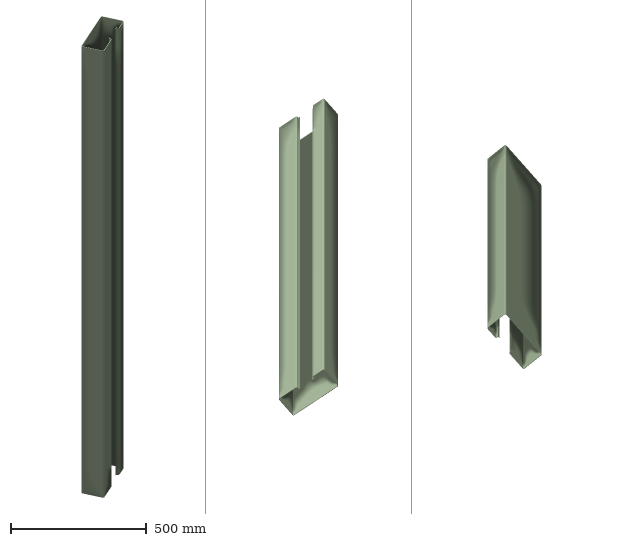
import cadquery as cq

depth = 90.0
width = 210.0
length = 2000.0

sheet = 2.0
outer_bend = 5.0
inner_bend = outer_bend - sheet

slot_width = 72.0
slot_center = 15.0
lip_depth = 12.0
hook_width = 5.0


def block(x_start, x_end, y_start, y_end):
    """Full-length upright block spanning the given X and Y limits."""
    return (
        cq.Workplane("XY")
        .box(x_end - x_start, y_end - y_start, length, centered=False)
        .translate((x_start, y_start, -length / 2))
    )


def tube():
    """Closed rectangular tube with rounded vertical corners."""
    outside = cq.Workplane("XY").box(depth, width, length)
    inside = cq.Workplane("XY").box(depth - 2 * sheet, width - 2 * sheet, length)
    return outside.edges("|Z").fillet(outer_bend).cut(inside.edges("|Z").fillet(inner_bend))


def lip():
    """Lip on the +Y side of a slot centred on Y = 0: folded inward, then hooked into the slot."""
    face = depth / 2
    slot_edge = slot_width / 2
    inner_end = face - lip_depth
    bend_x = face - outer_bend
    bend_y = slot_edge + outer_bend
    fold = block(inner_end, bend_x, slot_edge, slot_edge + sheet)
    hook = block(inner_end, inner_end + sheet, slot_edge - hook_width, slot_edge + sheet)
    ring = cq.Workplane("XY").circle(outer_bend).circle(inner_bend).extrude(length / 2, both=True)
    bend = ring.translate((bend_x, bend_y, 0)).intersect(block(bend_x, face, slot_edge, bend_y))
    return fold.union(hook).union(bend)


cut_edge = slot_width / 2 + outer_bend
slot = block(depth / 2 - outer_bend, depth / 2, -cut_edge, cut_edge)
lip_pair = lip().union(lip().mirror("XZ"))
slot_offset = (0, slot_center, 0)

result = tube().cut(slot.translate(slot_offset)).union(lip_pair.translate(slot_offset))